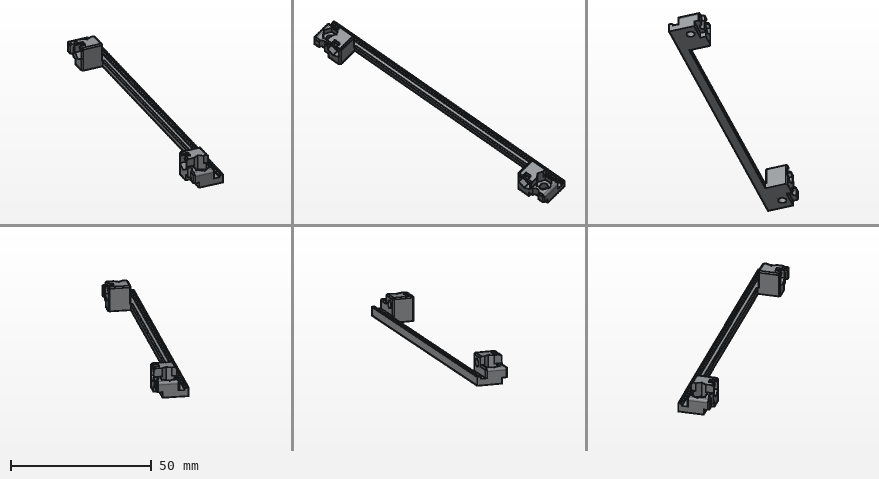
import cadquery as cq
import math

LENGTH = 107.0
DEPTH = 11.5
HEIGHT = 9.1

RAIL_DEPTH = 3.3
FLOOR_HEIGHT = 2.5
RAIL_CHAMFER = 0.5
LIP_HEIGHT = 3.3
LIP_DEPTH = 1.4
LIP_BEVEL_RUN = 0.5
LIP_BEVEL_RISE = 0.4
LIP_BACK_RUN = 0.5
LIP_BACK_DROP = 0.1

BLOCK_DEPTH = 8.2
BLOCK_WIDTH = 12.4
LUG_WIDTH = 5.9
LUG_HEIGHT = 6.0
EDGE_CHAMFER = 0.5
LUG_FILLET = 1.0

RECESS_WIDTH = 7.0
RECESS_DEPTH = 2.0
RECESS_HEIGHT = 2.1

SCREW_DIAMETER = 2.9
NUT_ACROSS_FLATS = 5.1
NUT_CORNERS = NUT_ACROSS_FLATS / math.cos(math.pi / 6)
NUT_DEPTH = 2.4
BLOCK_SCREW_X = (LUG_WIDTH + BLOCK_WIDTH) / 2
BLOCK_SCREW_Z = 6.1
SLOT_WIDTH = 2.2
LUG_SCREW_X = 4.0
LUG_SCREW_Y = 4.7
LUG_NUT_FLOOR = 3.5

GROOVE_DIAMETER = 2.7
GROOVE_CENTRE_Y = -0.2


def box(x0, x1, y0, y1, z0, z1):
    """A box given by its limits along each axis."""
    return cq.Workplane("XY").box(x1 - x0, y1 - y0, z1 - z0, centered=False).translate((x0, y0, z0))


def make_rail():
    """Full-length rail: floor with a bevelled front edge and a lip along the rear.

    The lip has a steep bevel toward the floor and slopes slightly down to the rear face.
    """
    front = DEPTH - RAIL_DEPTH
    lip_front = DEPTH - LIP_DEPTH
    profile = [
        (front, 0),
        (DEPTH, 0),
        (DEPTH, LIP_HEIGHT - LIP_BACK_DROP),
        (DEPTH - LIP_BACK_RUN, LIP_HEIGHT),
        (lip_front + LIP_BEVEL_RUN, LIP_HEIGHT),
        (lip_front, LIP_HEIGHT - LIP_BEVEL_RISE),
        (lip_front, FLOOR_HEIGHT),
        (front + RAIL_CHAMFER, FLOOR_HEIGHT),
        (front, FLOOR_HEIGHT - RAIL_CHAMFER),
    ]
    return cq.Workplane("YZ").polyline(profile).close().extrude(LENGTH / 2, both=True)


def make_block():
    """Tall block with its upright inner edges and its front, rear and inner top edges chamfered."""
    block = box(LUG_WIDTH, BLOCK_WIDTH, 0, BLOCK_DEPTH, 0, HEIGHT)
    return block.edges("(>X and |Z) or (>Z and (>X or |X))").chamfer(EDGE_CHAMFER)


def make_lug():
    """Low lug with chamfered outer corners, front and rear, and a rounded outer top edge."""
    lug = box(0, LUG_WIDTH, 0, BLOCK_DEPTH, 0, LUG_HEIGHT)
    chamfered = lug.edges("(<X and |Z) or (>Z and |X)").chamfer(EDGE_CHAMFER)
    rounded = lug.edges("<X and >Z").fillet(LUG_FILLET)
    plain_front = box(LUG_SCREW_X, LUG_WIDTH, 0, EDGE_CHAMFER, 0, LUG_HEIGHT)
    return chamfered.intersect(rounded).union(plain_front)


def make_deck():
    """Floor-high strip that joins the lug and the block to the rail."""
    return box(0, BLOCK_WIDTH, BLOCK_DEPTH - EDGE_CHAMFER, DEPTH - LIP_DEPTH, 0, FLOOR_HEIGHT)


def cut_block_screw(end):
    """Screw hole along Y, with a nut pocket in the front face that opens through the top."""
    face = cq.Workplane("XZ", origin=(BLOCK_SCREW_X, 0, BLOCK_SCREW_Z))
    hole = face.circle(SCREW_DIAMETER / 2).extrude(-DEPTH)
    nut = face.transformed(rotate=(0, 0, 90)).polygon(6, NUT_CORNERS).extrude(-NUT_DEPTH)
    slot_start = BLOCK_SCREW_X - SLOT_WIDTH / 2
    slot = box(slot_start, slot_start + SLOT_WIDTH, 0, NUT_DEPTH, BLOCK_SCREW_Z, HEIGHT)
    return end.cut(hole).cut(nut).cut(slot)


def cut_lug_screw(end):
    """Screw hole along Z, with a nut pocket from above that bites into the block."""
    base = cq.Workplane("XY", origin=(LUG_SCREW_X, LUG_SCREW_Y, 0))
    hole = base.circle(SCREW_DIAMETER / 2).extrude(HEIGHT)
    nut = base.workplane(offset=LUG_NUT_FLOOR).polygon(6, NUT_CORNERS).extrude(HEIGHT)
    return end.cut(hole).cut(nut)


def cut_front(end):
    """Recess below the lug and the upright groove above it."""
    recess = box(0, RECESS_WIDTH, 0, RECESS_DEPTH, 0, RECESS_HEIGHT)
    groove = (
        cq.Workplane("XY", origin=(LUG_SCREW_X, GROOVE_CENTRE_Y, 0))
        .circle(GROOVE_DIAMETER / 2)
        .extrude(LUG_HEIGHT)
    )
    return end.cut(recess).cut(groove)


def make_end():
    """One end fitting, its outer face at X = 0 and the rail running toward +X."""
    end = make_block().union(make_lug()).union(make_deck())
    return cut_front(cut_lug_screw(cut_block_screw(end)))


left_end = make_end().translate((-LENGTH / 2, 0, 0))
result = make_rail().union(left_end).union(left_end.mirror("YZ"))